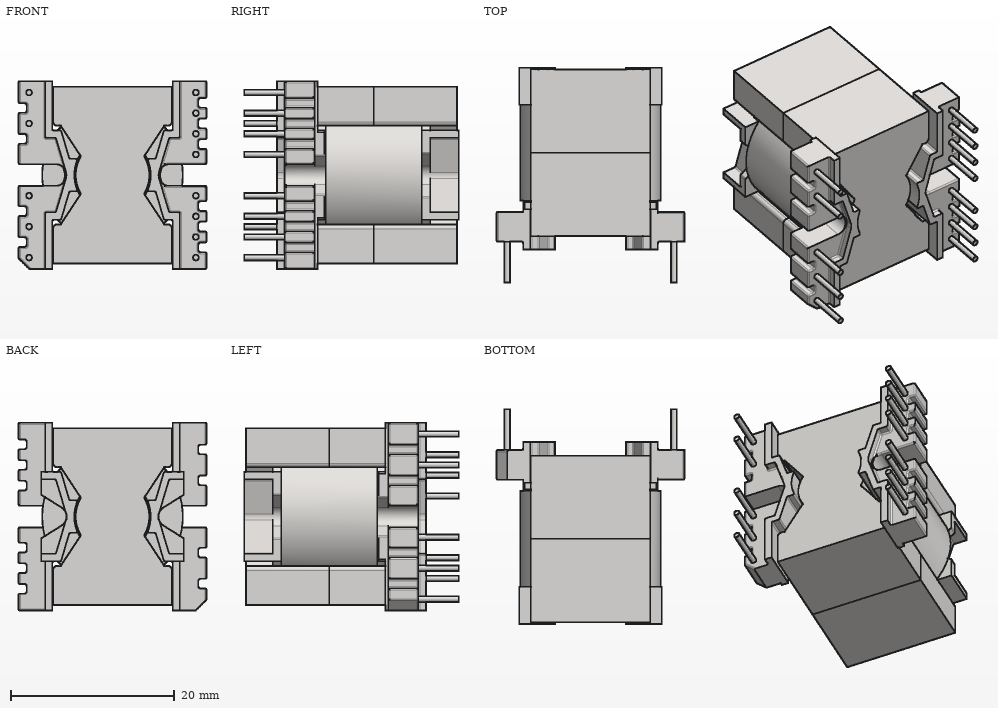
import cadquery as cq
import math


CORE_HALF_WIDTH = 7.29
CORE_HALF_HEIGHT = 10.84
CORE_HALF_DEPTH = 10.2
WINDOW_HALF_DEPTH = 6.9
POST_RADIUS = 4.52
LEG_BORE_RADIUS = 8.78
LEG_FOOT_Z = 6.02
LEG_FOOT_RADIUS = 0.53
LEG_TIP = (6.36, 6.08)
WAIST_CORNER_Z = 2.31

WINDING_RADIUS = 8.63
WINDING_HALF_LENGTH = 5.86

BORE_RADIUS = 4.65
TUBE_RADIUS = 5.63
FLANGE_RADIUS = 8.68
FLANGE_HALF_HEIGHT = 5.47
FLANGE_CHAMFER = 0.24
REAR_HALF_WIDTH = 8.73
FRONT_HALF_WIDTH = 8.25
REAR_END_Y = 10.41
WALL_INNER_X = 7.36
WALL_END_Y = -11.85
EDGE_ROUND = 0.197
ROOT_ROUND = 0.18

ARM_RAIL_Z = 4.55
ARM_LEAN = math.radians(16.6)
ARM_WIDTH_X = 0.9
ARM_TIP_Z = 2.0
ARM_BORE_RADIUS = 4.68

SLOT_RADIUS = 1.32
SLOT_BOTTOM_X = TUBE_RADIUS
SLOT_CENTRE_X = SLOT_BOTTOM_X + SLOT_RADIUS
LIP_END_GAP = 0.74
NOTCH_HALF_ANGLE = math.radians(32)

HALF_SIZE = 23.0 / 2
BLOCK_REAR_Y = -7.23
BLOCK_FRONT_Y = -10.9
CORNER_CHAMFER = 1.35
WIRE_NOTCH_FLOOR_X = 10.52
WIRE_NOTCH_WIDTH = 1.15
WIRE_NOTCH_CORNER = 0.24
PIN_DIAMETER = 0.7
PIN_X = 10.2
PIN_END_Y = REAR_END_Y - 26.3
PIN_FIRST_Z = 2.52
RIGHT_PIN_PITCH = 2.52
RIGHT_PINS_PER_BLOCK = 4
LEFT_PIN_PITCH = 3.8
LEFT_PINS_PER_BLOCK = 3

TOLERANCE = 0.003


def plane_at(y):
    """XZ workplane at the given Y; extruding moves toward -Y."""
    return cq.Workplane("XZ", origin=(0, y, 0))


def box_between(x0, x1, y0, y1, z0, z1):
    return cq.Workplane("XY").box(x1 - x0, y1 - y0, z1 - z0, centered=False).translate((x0, y0, z0))


def cylinder(radius, y_rear, y_front):
    return plane_at(y_rear).circle(radius).extrude(y_rear - y_front)


def core_profile(y_rear, y_front):
    """Waisted outline shared by the end plate and the outer legs."""
    width = CORE_HALF_WIDTH
    height = CORE_HALF_HEIGHT
    foot_centre = (width - LEG_FOOT_RADIUS, LEG_FOOT_Z + LEG_FOOT_RADIUS)
    diagonal = LEG_FOOT_RADIUS * math.sqrt(0.5)
    arc_middle = (foot_centre[0] + diagonal, foot_centre[1] - diagonal)
    foot_bottom = (foot_centre[0], LEG_FOOT_Z)
    waist_x = math.sqrt(POST_RADIUS**2 - WAIST_CORNER_Z**2)
    tip_x, tip_z = LEG_TIP
    return (
        plane_at(y_rear)
        .moveTo(-width, height)
        .lineTo(width, height)
        .lineTo(width, foot_centre[1])
        .threePointArc(arc_middle, foot_bottom)
        .lineTo(tip_x, tip_z)
        .lineTo(waist_x, WAIST_CORNER_Z)
        .threePointArc((POST_RADIUS, 0), (waist_x, -WAIST_CORNER_Z))
        .lineTo(tip_x, -tip_z)
        .lineTo(foot_bottom[0], -foot_bottom[1])
        .threePointArc((arc_middle[0], -arc_middle[1]), (width, -foot_centre[1]))
        .lineTo(width, -height)
        .lineTo(-width, -height)
        .lineTo(-width, -foot_centre[1])
        .threePointArc((-arc_middle[0], -arc_middle[1]), (-foot_bottom[0], -foot_bottom[1]))
        .lineTo(-tip_x, -tip_z)
        .lineTo(-waist_x, -WAIST_CORNER_Z)
        .threePointArc((-POST_RADIUS, 0), (-waist_x, WAIST_CORNER_Z))
        .lineTo(-tip_x, tip_z)
        .lineTo(-foot_bottom[0], foot_bottom[1])
        .threePointArc((-arc_middle[0], arc_middle[1]), (-width, foot_centre[1]))
        .close()
        .extrude(y_rear - y_front)
    )


def make_rear_core():
    window = cylinder(LEG_BORE_RADIUS, WINDOW_HALF_DEPTH, 0)
    post = cylinder(POST_RADIUS, WINDOW_HALF_DEPTH, 0)
    return core_profile(CORE_HALF_DEPTH, 0).cut(window).union(post)


def make_winding():
    outside = cylinder(WINDING_RADIUS, WINDING_HALF_LENGTH, -WINDING_HALF_LENGTH)
    return outside.cut(cylinder(TUBE_RADIUS, WINDING_HALF_LENGTH, -WINDING_HALF_LENGTH))


def flange(half_width, y_rear, y_front):
    """Round flange with a square ear on each side."""
    disc = cylinder(FLANGE_RADIUS, y_rear, y_front)
    clip = box_between(-half_width, half_width, y_front, y_rear, -FLANGE_RADIUS, FLANGE_RADIUS)
    ears = box_between(-half_width, half_width, y_front, y_rear, -FLANGE_HALF_HEIGHT, FLANGE_HALF_HEIGHT)
    return disc.intersect(clip), ears


def notched_flange(flange_body, half_width):
    """Cut both V notches into a flange and round their mouths."""
    notched = flange_body.cut(flange_notch(1)).cut(flange_notch(-1))
    mouths = notched.edges("|Y").filter(
        lambda edge: abs(edge.Center().x) > half_width - TOLERANCE and abs(edge.Center().z) < ARM_RAIL_Z
    )
    return mouths.fillet(EDGE_ROUND)


def rear_flange():
    disc, ears = flange(REAR_HALF_WIDTH, WINDOW_HALF_DEPTH, WINDING_HALF_LENGTH)
    return notched_flange(disc.union(ears), REAR_HALF_WIDTH)


def front_flange():
    """Front flange with thicker ears that reach back to the terminal blocks."""
    disc, ears = flange(FRONT_HALF_WIDTH, -WINDING_HALF_LENGTH, -WINDOW_HALF_DEPTH)
    ears = ears.edges("|Y").chamfer(FLANGE_CHAMFER)
    ears = ears.faces(">Y").edges().chamfer(EDGE_ROUND)
    backing = side_plate(FRONT_HALF_WIDTH, FLANGE_HALF_HEIGHT, -WINDOW_HALF_DEPTH, BLOCK_REAR_Y)
    body = disc.union(ears).union(backing).union(backing.mirror("YZ"))
    return notched_flange(body, FRONT_HALF_WIDTH)


def arm(rail_end_x, y_rear, y_front):
    """+X bent bracket reaching from the bore out to an upper and a lower rail."""
    lean = math.tan(ARM_LEAN)
    outer_x = SLOT_CENTRE_X - SLOT_RADIUS / math.cos(ARM_LEAN)
    inner_x = outer_x - ARM_WIDTH_X
    upper = [
        (outer_x + ARM_RAIL_Z * lean, ARM_RAIL_Z),
        (rail_end_x, ARM_RAIL_Z),
        (rail_end_x, FLANGE_HALF_HEIGHT),
        (inner_x + FLANGE_HALF_HEIGHT * lean, FLANGE_HALF_HEIGHT),
        (inner_x + ARM_TIP_Z * lean, ARM_TIP_Z),
        (math.sqrt(ARM_BORE_RADIUS**2 - ARM_TIP_Z**2), ARM_TIP_Z),
    ]
    lower = [(x, -z) for x, z in reversed(upper)]
    bracket = (
        plane_at(y_rear)
        .polyline([(outer_x, 0)] + upper)
        .threePointArc((ARM_BORE_RADIUS, 0), lower[0])
        .polyline(lower + [(outer_x, 0)])
        .wire()
        .extrude(y_rear - y_front)
    )
    corners = bracket.edges("|Y").filter(lambda edge: edge.Center().x < rail_end_x - TOLERANCE)
    bends = corners.filter(lambda edge: abs(edge.Center().z) > TOLERANCE)
    bracket = bends.fillet(EDGE_ROUND)
    slot_bottom = bracket.edges("|Y").filter(lambda edge: abs(edge.Center().z) < TOLERANCE)
    return slot_bottom.fillet(SLOT_RADIUS)


def is_wall_bend(edge):
    """True for the edges along Y where a wall turns into the front arm."""
    x = edge.Center().x
    z = abs(edge.Center().z)
    inner_bend = abs(x - WALL_INNER_X) < TOLERANCE and z < FLANGE_HALF_HEIGHT + TOLERANCE
    outer_bend = abs(x - FRONT_HALF_WIDTH) < TOLERANCE and z < ARM_RAIL_Z + TOLERANCE
    return inner_bend or outer_bend


def front_bracket():
    """+X front arm with the walls that run beside the core legs above and below it."""
    upper = box_between(WALL_INNER_X, FRONT_HALF_WIDTH, WALL_END_Y, -WINDOW_HALF_DEPTH, ARM_RAIL_Z, HALF_SIZE)
    bracket = arm(FRONT_HALF_WIDTH, -WINDOW_HALF_DEPTH, WALL_END_Y).union(upper).union(upper.mirror("XY"))
    return bracket.edges("|Y").filter(is_wall_bend).fillet(EDGE_ROUND)


def wire_slot():
    """Round-ended slot between the upper and lower +X terminal blocks."""
    return (
        plane_at(BLOCK_REAR_Y)
        .moveTo(HALF_SIZE, SLOT_RADIUS)
        .lineTo(SLOT_CENTRE_X, SLOT_RADIUS)
        .threePointArc((SLOT_BOTTOM_X, 0), (SLOT_CENTRE_X, -SLOT_RADIUS))
        .lineTo(HALF_SIZE, -SLOT_RADIUS)
        .close()
        .extrude(BLOCK_REAR_Y - BLOCK_FRONT_Y)
    )


def flange_notch(side):
    """V notch with a round bottom that widens the slot through both flanges."""
    tangent_x = SLOT_CENTRE_X - SLOT_RADIUS * math.sin(NOTCH_HALF_ANGLE)
    tangent_z = SLOT_RADIUS * math.cos(NOTCH_HALF_ANGLE)
    mouth_z = tangent_z + (HALF_SIZE - tangent_x) * math.tan(NOTCH_HALF_ANGLE)
    notch = (
        plane_at(WINDOW_HALF_DEPTH)
        .moveTo(HALF_SIZE, mouth_z)
        .lineTo(tangent_x, tangent_z)
        .threePointArc((SLOT_BOTTOM_X, 0), (tangent_x, -tangent_z))
        .lineTo(HALF_SIZE, -mouth_z)
        .close()
        .extrude(WINDOW_HALF_DEPTH - BLOCK_REAR_Y)
    )
    return notch if side > 0 else notch.mirror("YZ")


def wire_notch(z):
    """Small lead notch in the outer face of a +X terminal block."""
    return (
        box_between(
            WIRE_NOTCH_FLOOR_X, HALF_SIZE, BLOCK_FRONT_Y, BLOCK_REAR_Y,
            z - WIRE_NOTCH_WIDTH / 2, z + WIRE_NOTCH_WIDTH / 2,
        )
        .edges("|Y and <X")
        .fillet(WIRE_NOTCH_CORNER)
    )


def side_plate(outer_x, half_height, y_rear, y_front):
    """+X plate whose inner side runs into the front arm and the upright walls."""
    web_x = (WALL_INNER_X + FRONT_HALF_WIDTH) / 2
    web_z = (ARM_RAIL_Z + FLANGE_HALF_HEIGHT) / 2
    lean = math.tan(ARM_LEAN)
    root_x = SLOT_CENTRE_X - SLOT_RADIUS / math.cos(ARM_LEAN) - ARM_WIDTH_X / 2
    upper = [
        (root_x, 0),
        (root_x + web_z * lean, web_z),
        (web_x, web_z),
        (web_x, half_height),
        (outer_x, half_height),
    ]
    lower = [(x, -z) for x, z in reversed(upper[1:])]
    return plane_at(y_rear).polyline(upper + lower).close().extrude(y_rear - y_front)


def is_root(edge):
    """True for the edges where the arm and walls rise from the block front."""
    bounds = edge.BoundingBox()
    on_front = abs(bounds.ymin - BLOCK_FRONT_Y) < TOLERANCE and abs(bounds.ymax - BLOCK_FRONT_Y) < TOLERANCE
    return on_front and bounds.xmax < FRONT_HALF_WIDTH + TOLERANCE


def slot_lip_waste():
    """Material removed to round the front lip of the slot, clear of the arm root."""
    plate = side_plate(HALF_SIZE, HALF_SIZE, BLOCK_REAR_Y, BLOCK_FRONT_Y).cut(wire_slot())
    lips = plate.faces("<Y").edges().filter(
        lambda edge: abs(edge.Center().z) < SLOT_RADIUS + TOLERANCE and edge.Center().x > SLOT_BOTTOM_X - TOLERANCE
    )
    reach = box_between(
        SLOT_BOTTOM_X + LIP_END_GAP, HALF_SIZE, BLOCK_FRONT_Y, BLOCK_REAR_Y, -2 * SLOT_RADIUS, 2 * SLOT_RADIUS
    )
    return plate.cut(lips.fillet(EDGE_ROUND)).intersect(reach)


def is_block_round(edge):
    """True for the block edges to be rounded: the outer face and the front lips of the wire notches."""
    centre = edge.Center()
    bounds = edge.BoundingBox()
    if bounds.xmin > HALF_SIZE - TOLERANCE:
        return True
    on_end = bounds.zmin > HALF_SIZE - TOLERANCE or bounds.zmax < TOLERANCE - HALF_SIZE
    on_front = abs(centre.y - BLOCK_FRONT_Y) < TOLERANCE
    on_slot = abs(centre.z) < SLOT_RADIUS + TOLERANCE
    on_root = centre.x < FRONT_HALF_WIDTH + 2 * ROOT_ROUND
    return on_front and not (on_end or on_slot or on_root)


def is_rear_end(edge):
    """True for the rear edges at the top and bottom ends of the blocks."""
    centre = edge.Center()
    on_rear = abs(centre.y - BLOCK_REAR_Y) < TOLERANCE
    return on_rear and abs(centre.z) > HALF_SIZE - TOLERANCE and centre.x > FRONT_HALF_WIDTH


def is_tab_front(edge):
    """True for the outer front edges of the narrow tabs between two right wire notches."""
    centre = edge.Center()
    on_outer_front = centre.x > HALF_SIZE - TOLERANCE and abs(centre.y - BLOCK_FRONT_Y) < TOLERANCE
    return on_outer_front and edge.Length() < RIGHT_PIN_PITCH - WIRE_NOTCH_WIDTH + TOLERANCE


def terminal_side(notches_z):
    """+X pair of terminal blocks with the front arm and walls they stand behind."""
    block = side_plate(HALF_SIZE, HALF_SIZE, BLOCK_REAR_Y, BLOCK_FRONT_Y).union(front_bracket())
    block = block.edges().filter(is_root).fillet(ROOT_ROUND)
    block = block.cut(wire_slot())
    for z in notches_z:
        block = block.cut(wire_notch(z))
    return block


def left_terminal_side():
    """-X blocks, with the lower outer corner cut off to mark the orientation."""
    block = terminal_side(notch_row(LEFT_PIN_PITCH, LEFT_PINS_PER_BLOCK))
    block = block.edges("|Y and >X and <Z").chamfer(CORNER_CHAMFER)
    return block.edges().filter(is_block_round).fillet(EDGE_ROUND).mirror("YZ")


def right_terminal_side():
    """+X blocks, with rounded rear end edges and a rounded slot lip."""
    block = terminal_side(notch_row(RIGHT_PIN_PITCH, RIGHT_PINS_PER_BLOCK))
    rounds = block.edges().filter(
        lambda edge: is_rear_end(edge) or (is_block_round(edge) and not is_tab_front(edge))
    )
    block = rounds.fillet(EDGE_ROUND)
    return block.cut(slot_lip_waste())


def pin_row(pitch, count):
    """Heights of the pins in the upper block, from the slot outward."""
    return [PIN_FIRST_Z + pitch * i for i in range(count)]


def notch_row(pitch, count):
    """Heights of the wire notches, midway between neighbouring pins of both blocks."""
    upper = [z + pitch / 2 for z in pin_row(pitch, count - 1)]
    return upper + [-z for z in upper]


def pin(x, z):
    return cylinder(PIN_DIAMETER / 2, BLOCK_FRONT_Y, PIN_END_Y).translate((x, 0, z))


def make_bobbin():
    body = cylinder(TUBE_RADIUS, WINDOW_HALF_DEPTH, -WINDOW_HALF_DEPTH)
    body = body.union(rear_flange()).union(front_flange())
    body = body.cut(cylinder(BORE_RADIUS, WINDOW_HALF_DEPTH, -WINDOW_HALF_DEPTH))

    rear_arm = arm(REAR_HALF_WIDTH, REAR_END_Y, WINDOW_HALF_DEPTH)
    body = body.union(rear_arm).union(rear_arm.mirror("YZ"))

    body = body.union(left_terminal_side()).union(right_terminal_side())

    left_pins = pin_row(LEFT_PIN_PITCH, LEFT_PINS_PER_BLOCK)
    right_pins = pin_row(RIGHT_PIN_PITCH, RIGHT_PINS_PER_BLOCK)
    for z in left_pins:
        body = body.union(pin(-PIN_X, -z))
    for z in left_pins[1:]:
        body = body.union(pin(-PIN_X, z))
    for z in right_pins:
        body = body.union(pin(PIN_X, z)).union(pin(PIN_X, -z))
    return body


rear_core = make_rear_core()
front_core = rear_core.mirror("XZ")
winding = make_winding()
bobbin = make_bobbin()

result = cq.Compound.makeCompound([rear_core.val(), front_core.val(), winding.val(), bobbin.val()])